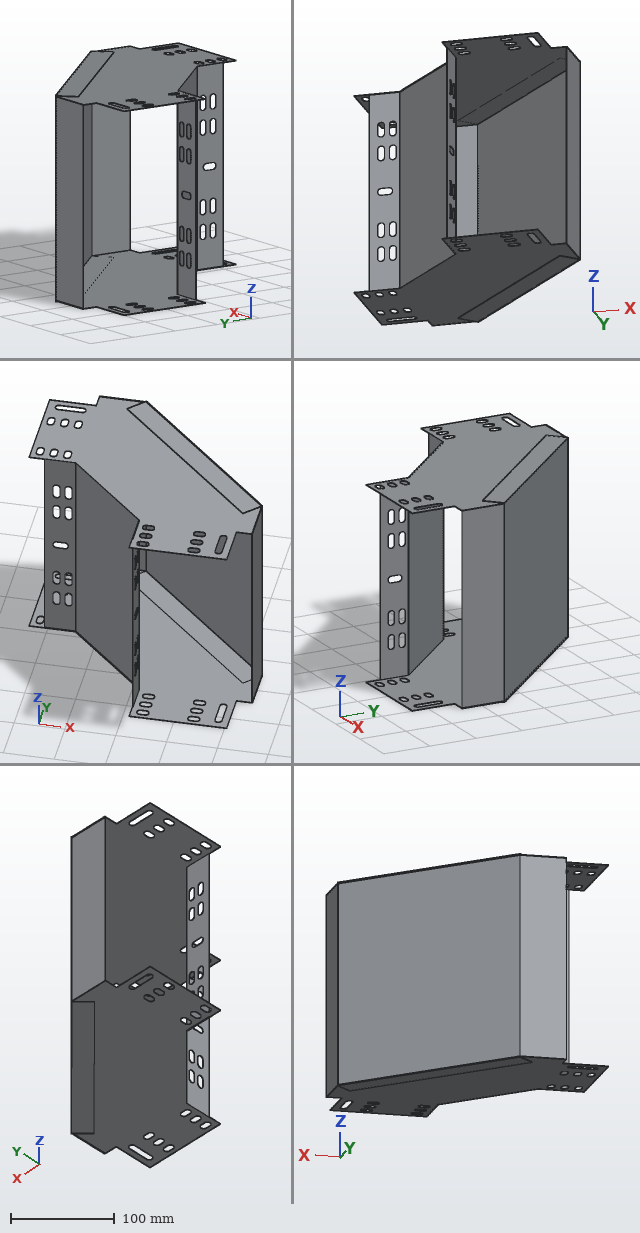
import cadquery as cq
import math


SIZE = 236.3
HEIGHT = 203.2
SHEET = 0.8
ARM = 45.8
INNER_SIDE = 124.5
OUTER_SIDE = 220.5
PANEL_END = 92.0
FLANGE_START = 15.1
LIP_WIDTH = 22.5

SLOT_WIDTH = 6.9
LONG_SLOT = 30.0
LONG_SLOT_PLACE = (23.0, 210.0)
SHORT_SLOT = 11.8
SHORT_SLOT_ROWS = (136.3, 186.5)
SHORT_SLOT_MIDDLE = 22.0
SHORT_SLOT_PITCH = 13.5
FLANGE_SLOT = 15.0
FLANGE_SLOT_COLUMNS = (27.0, 38.7)
FLANGE_SLOT_HEIGHTS = (39.2, 63.5)

PLATE_TOP = HEIGHT / 2 - SHEET
PLATE_UNDERSIDE = PLATE_TOP - SHEET
BEND_SHIFT = SHEET * math.tan(math.pi / 8)
INNER_BEND = ARM - BEND_SHIFT


def mirrored(points):
    """Complete an outline: the points, then their mirror images in x = y, in reverse order."""
    return points + [(y, x) for x, y in reversed(points)]


def prism(outline, bottom, top):
    return cq.Workplane("XY").workplane(offset=bottom).polyline(outline).close().extrude(top - bottom)


def mirror_arm(shape):
    """Copy -X arm cutters onto the -Y arm by a half turn about x = y; they are symmetric in height."""
    return shape.union(shape.rotate((0, 0, 0), (1, 1, 0), 180))


def plate_slots():
    """Cutters for all the slots in the top and bottom plates."""
    short_places = [
        (SHORT_SLOT_MIDDLE + step * SHORT_SLOT_PITCH, row)
        for step in (-1, 0, 1)
        for row in SHORT_SLOT_ROWS
    ]
    base = cq.Workplane("XY").workplane(offset=-HEIGHT / 2)
    slots = base.pushPoints([LONG_SLOT_PLACE]).slot2D(LONG_SLOT, SLOT_WIDTH).extrude(HEIGHT)
    slots = slots.union(base.pushPoints(short_places).slot2D(SHORT_SLOT, SLOT_WIDTH, 90).extrude(HEIGHT))
    return mirror_arm(slots)


def flange_slots():
    """Cutters for the slots in both vertical flanges."""
    upright_places = [
        (column, side * height)
        for column in FLANGE_SLOT_COLUMNS
        for height in FLANGE_SLOT_HEIGHTS
        for side in (-1, 1)
    ]
    level_slot_x = FLANGE_SLOT_COLUMNS[0] + (FLANGE_SLOT - SLOT_WIDTH) / 2
    depth = 2 * SHEET
    base = cq.Workplane("XZ", origin=(0, INNER_SIDE + SHEET, 0)).workplane(offset=-SHEET / 2)
    slots = base.pushPoints(upright_places).slot2D(FLANGE_SLOT, SLOT_WIDTH, 90).extrude(depth)
    slots = slots.union(base.pushPoints([(level_slot_x, 0)]).slot2D(FLANGE_SLOT, SLOT_WIDTH).extrude(depth))
    return mirror_arm(slots)


def make_channel():
    """Top and bottom plates joined by the inner wall, whose ends are the slotted flanges."""
    plate_edge = SIZE - SHEET
    outline = mirrored([
        (INNER_BEND, INNER_SIDE),
        (0, INNER_SIDE),
        (0, OUTER_SIDE),
        (ARM, OUTER_SIDE),
        (ARM, plate_edge),
        (PANEL_END - BEND_SHIFT, plate_edge),
    ])
    wall_outline = [
        (FLANGE_START, INNER_SIDE),
        (INNER_BEND, INNER_SIDE),
        (INNER_SIDE, INNER_BEND),
        (INNER_SIDE, FLANGE_START),
        (INNER_SIDE + SHEET, FLANGE_START),
        (INNER_SIDE + SHEET, ARM),
        (ARM, INNER_SIDE + SHEET),
        (FLANGE_START, INNER_SIDE + SHEET),
    ]
    channel = prism(outline, PLATE_UNDERSIDE, PLATE_TOP)
    channel = channel.union(prism(outline, -PLATE_TOP, -PLATE_UNDERSIDE))
    channel = channel.cut(plate_slots())
    channel = channel.union(prism(wall_outline, -PLATE_TOP, PLATE_TOP))
    return channel.cut(flange_slots()).clean()


def make_outer_wall():
    """Three-panel outer wall, with a lip folded over each plate along the diagonal panel."""
    wall_outline = mirrored([
        (ARM, SIZE - SHEET),
        (ARM, SIZE),
        (PANEL_END, SIZE),
    ])
    inner_bend = (PANEL_END - BEND_SHIFT, SIZE - SHEET)
    wall_outline += [inner_bend[::-1], inner_bend]
    lip_leg = LIP_WIDTH / math.sqrt(2)
    lip_outline = mirrored([
        (PANEL_END - lip_leg, SIZE - lip_leg),
        (PANEL_END, SIZE),
    ])
    wall = prism(wall_outline, -PLATE_TOP, PLATE_TOP)
    wall = wall.union(prism(lip_outline, PLATE_TOP, HEIGHT / 2))
    return wall.union(prism(lip_outline, -HEIGHT / 2, -PLATE_TOP)).clean()


channel = make_channel()
outer_wall = make_outer_wall()

result = cq.Compound.makeCompound([channel.solids().val(), outer_wall.solids().val()])